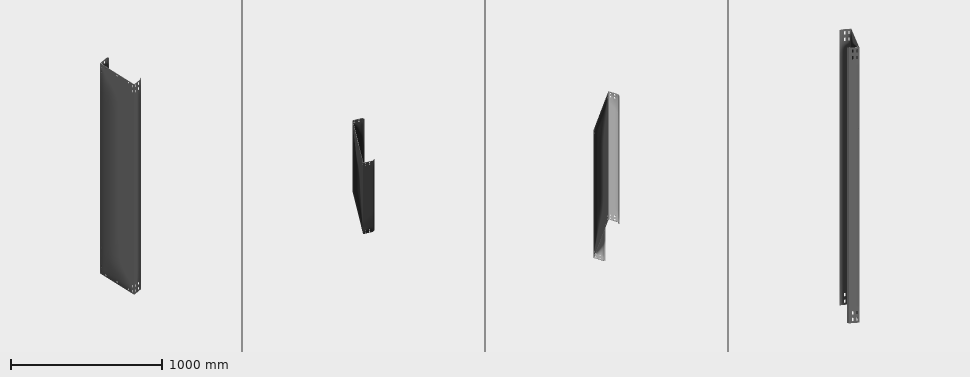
import cadquery as cq
import math

width = 300.0
depth = 80.0
length = 2000.0
sheet = 2.0

lip_rise = 12.0
lip_reach = 10.0
lip_return = 8.0

slot_end_offsets = (25.0, 75.0)
wall_slot_width = 10.0
wall_slot_length = 25.0
wall_slot_from_base = 45.0
corner_slot_width = 7.0
corner_slot_length = 25.0
wall_corner_slot_inset = 15.0
base_corner_slot_inset = 12.0
base_slot_width = 10.0
base_slot_length = 12.0
base_slot_spacing = 100.0
base_slot_end_offset = 18.0

base_y = -depth / 2
cut_margin = 20.0


def mirrored_heights(end_offset):
    """Z positions at the same distance from both ends."""
    height = length / 2 - end_offset
    return (height, -height)


def tray_section():
    """Thin channel, open toward +Y, with a sloping lip and a short return on each wall."""
    half = width / 2
    top = depth / 2
    bend_y = top - lip_rise
    tip_x = half - lip_reach
    tip_y = top - lip_return
    slope = math.atan2(lip_rise, lip_reach)
    inner_bend_y = bend_y - sheet * math.tan((math.pi / 2 - slope) / 2)
    inner_top = inner_bend_y + (lip_reach - 2 * sheet) * math.tan(slope)
    right_side = [
        (half, base_y),
        (half, bend_y),
        (tip_x, top),
        (tip_x, tip_y),
        (tip_x + sheet, tip_y),
        (tip_x + sheet, inner_top),
        (half - sheet, inner_bend_y),
        (half - sheet, base_y + sheet),
    ]
    left_side = [(-x, y) for x, y in reversed(right_side)]
    return right_side + left_side


def cut_base_slots(body, points, slot_length, slot_width, angle):
    """Cut slots through the base sheet at (x, z) points."""
    cutter = (
        cq.Workplane("XZ", origin=(0, base_y - cut_margin, 0))
        .pushPoints(points)
        .slot2D(slot_length, slot_width, angle)
        .extrude(-(cut_margin + 2 * sheet))
    )
    return body.cut(cutter)


def cut_wall_slots(body, points, slot_length, slot_width):
    """Cut upright slots through both side walls at (y, z) points."""
    cutter = (
        cq.Workplane("YZ")
        .pushPoints(points)
        .slot2D(slot_length, slot_width, 90)
        .extrude(width / 2 + cut_margin, both=True)
    )
    return body.cut(cutter)


tray = cq.Workplane("XY").polyline(tray_section()).close().extrude(length / 2, both=True)

upright_heights = [z for offset in slot_end_offsets for z in mirrored_heights(offset)]

wall_slots = [(base_y + wall_slot_from_base, z) for z in upright_heights]
wall_corner_slots = [(base_y + wall_corner_slot_inset, z) for z in upright_heights]
tray = cut_wall_slots(tray, wall_slots, wall_slot_length, wall_slot_width)
tray = cut_wall_slots(tray, wall_corner_slots, corner_slot_length, corner_slot_width)

corner_x = width / 2 - base_corner_slot_inset
base_corner_slots = [(x, z) for x in (-corner_x, corner_x) for z in upright_heights]
tray = cut_base_slots(tray, base_corner_slots, corner_slot_length, corner_slot_width, 90)

base_slots = [
    (column * base_slot_spacing, z)
    for column in (-1, 0, 1)
    for z in mirrored_heights(base_slot_end_offset)
]
tray = cut_base_slots(tray, base_slots, base_slot_length, base_slot_width, 0)

result = tray